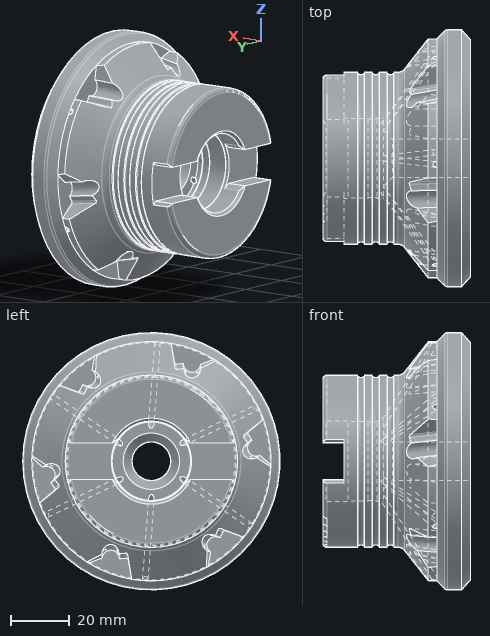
import cadquery as cq
import math


hub_radius = 29.2
front_round = 1.4
groove_width = 2.5
groove_wall_depth = 0.4
groove_depth = 0.8
groove_wall_run = 0.2
groove_centers = [12.9, 17.9, 22.9]

body_radius = 40.55
cone_end_x = 35.7
cone_angle = 52.0
hub_cone_fillet = 3.0
cone_length = (body_radius - hub_radius) / math.tan(math.radians(cone_angle))
cone_start_x = cone_end_x - cone_length

flange_x = 38.6
flange_radius = 43.62
flange_shoulder_angle = 45.0
total_length = 50.06
flange_chamfer_length = 3.06
flange_chamfer_height = 3.4
flange_edge_round = 1.3

bore_radius = 13.6
bore_chamfer = 1.0
middle_bore_x = 8.5
middle_bore_radius = 13.45
inner_bore_x = 15.3
inner_bore_radius = 13.3
undercut_x = 18.4
seat_x = 20.5
countersink_radius = 9.55
through_radius = 6.5

slot_width = 12.5
slot_depth = 7.1
slot_outer_bevel = 1.1
slot_bore_bevel_run = 1.1
slot_bore_bevel_rise = 1.65

pocket_count = 6
pocket_pitch = 360.0 / pocket_count
pocket_wall_angle = 40.0
pocket_wall_reach = 12.0
upper_corner = (32.5, 9.6)
upper_corner_round = 0.7
ledge_end = (33.9, 7.4)
lower_corner = (36.5, 2.2)
relief_center = (35.5, 4.6)
relief_radius = 2.9
pocket_length = 14.0
pocket_u_slope = 0.16
pocket_v_slope = 0.113

coolant_diameter = 1.9
coolant_inlet_radius = 13.0
coolant_inlet_angle = 30.0
coolant_outlet_angle = 27.0
coolant_outlet_x = 38.4
coolant_overrun = 1.5


def revolve_about_x(profile):
    return profile.close().revolve(360, (0, 0, 0), (1, 0, 0))


def polar_point(x, radius, angle):
    """Point at an axial position; the angle runs from -Y towards +Z."""
    turn = math.radians(angle)
    return cq.Vector(x, -radius * math.cos(turn), radius * math.sin(turn))


def make_body():
    """Hub with three seal grooves, blending into the conical body."""
    half_width = groove_width / 2
    fillet_run = hub_cone_fillet * math.tan(math.radians(cone_angle / 2))
    bend = math.radians(cone_angle)
    fillet_start = (cone_start_x - fillet_run, hub_radius)
    fillet_end = (
        cone_start_x + fillet_run * math.cos(bend),
        hub_radius + fillet_run * math.sin(bend),
    )

    profile = (
        cq.Workplane("XY")
        .lineTo(0, hub_radius - front_round)
        .radiusArc((front_round, hub_radius), front_round)
    )
    wall_foot = half_width - groove_wall_run
    for center in groove_centers:
        profile = (
            profile.lineTo(center - half_width, hub_radius)
            .lineTo(center - wall_foot, hub_radius - groove_wall_depth)
            .threePointArc(
                (center, hub_radius - groove_depth),
                (center + wall_foot, hub_radius - groove_wall_depth),
            )
            .lineTo(center + half_width, hub_radius)
        )
    profile = (
        profile.lineTo(*fillet_start)
        .radiusArc(fillet_end, -hub_cone_fillet)
        .lineTo(cone_end_x, body_radius)
        .lineTo(flange_x, body_radius)
        .lineTo(flange_x, 0)
    )
    return revolve_about_x(profile)


def make_flange():
    """Rear disc with a conical front shoulder and a chamfered rear edge."""
    slope = math.radians(flange_shoulder_angle)
    shoulder_end_x = flange_x + (flange_radius - body_radius) / math.tan(slope)
    tangent_run = flange_edge_round * math.tan(slope / 2)
    round_start = (
        shoulder_end_x - tangent_run * math.cos(slope),
        flange_radius - tangent_run * math.sin(slope),
    )
    profile = (
        cq.Workplane("XY")
        .moveTo(flange_x, 0)
        .lineTo(flange_x, body_radius)
        .lineTo(*round_start)
        .radiusArc((shoulder_end_x + tangent_run, flange_radius), flange_edge_round)
        .lineTo(total_length - flange_chamfer_length, flange_radius)
        .lineTo(total_length, flange_radius - flange_chamfer_height)
        .lineTo(total_length, 0)
    )
    return revolve_about_x(profile)


def make_bore():
    """Chamfered, stepped bore, undercut at its seat, with a countersunk through hole."""
    countersink_end_x = seat_x + countersink_radius - through_radius
    profile = (
        cq.Workplane("XY")
        .lineTo(0, bore_radius + bore_chamfer)
        .lineTo(bore_chamfer, bore_radius)
        .lineTo(middle_bore_x, bore_radius)
        .lineTo(middle_bore_x, middle_bore_radius)
        .lineTo(inner_bore_x, middle_bore_radius)
        .lineTo(inner_bore_x, inner_bore_radius)
        .lineTo(undercut_x, inner_bore_radius)
        .lineTo(undercut_x, bore_radius)
        .lineTo(seat_x, bore_radius)
        .lineTo(seat_x, countersink_radius)
        .lineTo(countersink_end_x, through_radius)
        .lineTo(total_length, through_radius)
        .lineTo(total_length, 0)
    )
    return revolve_about_x(profile)


def make_slot():
    """Driving slot whose walls are bevelled at the rim and at the bore."""
    half = slot_width / 2
    outer_y = math.sqrt(hub_radius**2 - (half + slot_outer_bevel) ** 2)
    bore_y = math.sqrt(bore_radius**2 - half**2)
    slot = cq.Workplane("YZ").rect(2 * hub_radius, slot_width).extrude(slot_depth)
    for y_side in (1, -1):
        for z_side in (1, -1):
            rim_bevel = [
                (outer_y - slot_outer_bevel, half),
                (outer_y, half + slot_outer_bevel),
                (hub_radius, half + slot_outer_bevel),
                (hub_radius, half),
            ]
            bore_bevel = [
                (bore_y + slot_bore_bevel_run, half),
                (bore_y - slot_bore_bevel_run, half + slot_bore_bevel_rise),
                (bore_y - slot_bore_bevel_run, half),
            ]
            for outline in (rim_bevel, bore_bevel):
                points = [(y * y_side, z * z_side) for y, z in outline]
                slot = slot.union(cq.Workplane("YZ").polyline(points).close().extrude(slot_depth))
    return slot


def make_pocket():
    """Slanted V-shaped insert pocket with a round relief groove at its root."""
    plane = cq.Plane(origin=(flange_x, 0, 0), xDir=(0, -1, 0), normal=(-1, 0, 0))
    slant = cq.Vector(-pocket_length, pocket_length * pocket_u_slope, -pocket_length * pocket_v_slope)
    reach_u = pocket_wall_reach * math.cos(math.radians(pocket_wall_angle))
    reach_v = pocket_wall_reach * math.sin(math.radians(pocket_wall_angle))
    seat_outline = [
        (upper_corner[0] + reach_u, upper_corner[1] + reach_v),
        upper_corner,
        ledge_end,
        lower_corner,
        (lower_corner[0] + reach_u, lower_corner[1] - reach_v),
    ]
    seat_wire = cq.Workplane(plane).polyline(seat_outline).close().val()
    deepest = cq.Workplane(seat_wire).vertices(">Y").vals()
    seat_wire = seat_wire.fillet2D(upper_corner_round, deepest)
    relief_wire = cq.Workplane(plane).moveTo(*relief_center).circle(relief_radius).wire().val()
    seat = cq.Solid.extrudeLinear(cq.Face.makeFromWires(seat_wire), slant)
    relief = cq.Solid.extrudeLinear(cq.Face.makeFromWires(relief_wire), slant)
    return cq.Workplane(seat).union(cq.Workplane(relief))


def make_coolant_hole():
    """Oblique hole from the bore seat to the rim, just ahead of the flange."""
    inlet = polar_point(seat_x, coolant_inlet_radius, coolant_inlet_angle)
    outlet = polar_point(coolant_outlet_x, body_radius, coolant_outlet_angle)
    axis = (outlet - inlet).normalized()
    start = inlet - axis * coolant_overrun
    length = (outlet - inlet).Length + 2 * coolant_overrun
    return cq.Workplane(cq.Solid.makeCylinder(coolant_diameter / 2, length, start, axis))


body = make_body()
pocket = make_pocket()
coolant_hole = make_coolant_hole()
for index in range(pocket_count):
    turn = index * pocket_pitch
    body = body.cut(pocket.rotate((0, 0, 0), (1, 0, 0), turn))
    body = body.cut(coolant_hole.rotate((0, 0, 0), (1, 0, 0), turn))

result = body.union(make_flange()).cut(make_bore()).cut(make_slot())